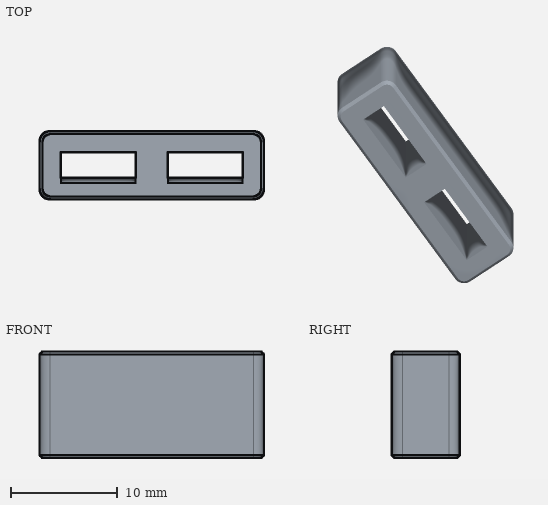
import cadquery as cq

length = 21.0
width = 6.4
height = 10.0
corner_radius = 1.0
edge_chamfer = 0.3

slot_length = 7.0
slot_spacing = 10.0
slot_back_y = 1.2
slot_front_y = -1.15
lead_in_width = 0.5
lead_in_depth = 2.0
lead_in_blend_radius = 2.0


def make_block():
    block = cq.Workplane("XY").box(length, width, height, centered=(True, True, False))
    block = block.edges("|Z").fillet(corner_radius)
    return block.faces("<Z or >Z").edges().chamfer(edge_chamfer)


def make_slot(center_x):
    """Through slot whose front wall flares outward towards the top face."""
    straight = (
        cq.Workplane("XY")
        .center(center_x, (slot_back_y + slot_front_y) / 2)
        .rect(slot_length, slot_back_y - slot_front_y)
        .extrude(height)
    )
    lead_in_profile = [
        (slot_back_y, height),
        (slot_back_y, height - lead_in_depth),
        (slot_front_y, height - lead_in_depth),
        (slot_front_y - lead_in_width, height),
    ]
    lead_in = (
        cq.Workplane("YZ", origin=(center_x, 0, 0))
        .polyline(lead_in_profile)
        .close()
        .extrude(slot_length / 2, both=True)
    )
    slot = straight.union(lead_in, clean=True)

    bend = cq.selectors.NearestToPointSelector((center_x, slot_front_y, height - lead_in_depth))
    return slot.edges("|X").edges(bend).fillet(lead_in_blend_radius)


result = make_block()
for side in (-1, 1):
    result = result.cut(make_slot(side * slot_spacing / 2))